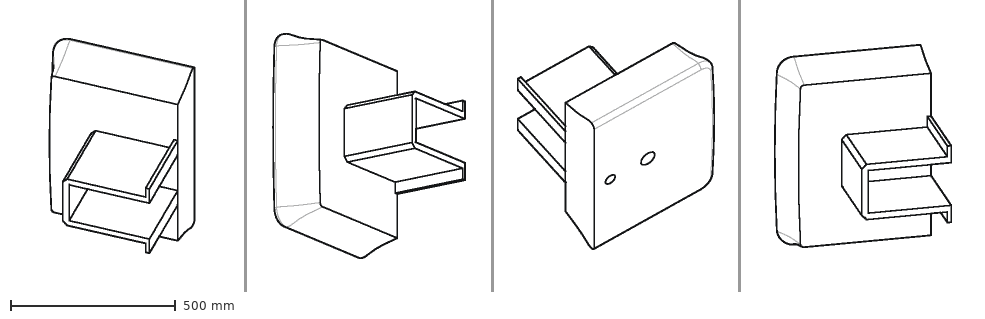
import cadquery as cq
import math


cushion_length = 455.5
cushion_height = 610.5
cushion_depth = 149.5
corner_radius = 52.0
end_bulge_radius = 5251.0
rim_inset = 40.0
rim_waist = (22.0, 74.0)
rim_shoulder = (9.0, 104.0)
back_edge_radius = 15.0
rim_strip_width = 46.0

bracket_length = 280.0
bracket_depth = 250.5
channel_height = 181.0
wall = 21.0
lip_height = 250.5
lip_thickness = 12.0
bracket_chamfer = 14.5

holes = [(200.0, 50.5), (60.5, 36.0)]

half_height = cushion_height / 2
corner_z = half_height - corner_radius
bulge_x = end_bulge_radius - cushion_length
corner_x = bulge_x - math.sqrt((end_bulge_radius - corner_radius) ** 2 - corner_z ** 2)
tangent_angle = math.asin(corner_z / (end_bulge_radius - corner_radius))


def rim_outline(inset):
    """Open outline of the three rimmed sides on plane Y = 0, moved inwards by inset."""
    radius = corner_radius - inset
    middle_angle = (math.pi / 2 + tangent_angle) / 2
    top_z = half_height - inset

    def corner_point(angle, side):
        return (corner_x - radius * math.cos(angle), side * (corner_z + radius * math.sin(angle)))

    return (
        cq.Workplane("XZ")
        .moveTo(0, top_z)
        .lineTo(corner_x, top_z)
        .threePointArc(corner_point(middle_angle, 1), corner_point(tangent_angle, 1))
        .threePointArc((-cushion_length + inset, 0), corner_point(tangent_angle, -1))
        .threePointArc(corner_point(middle_angle, -1), (corner_x, -top_z))
        .lineTo(0, -top_z)
    )


def rim_section():
    """Closed rim cross-section on the flat end, ready to sweep round the outline."""
    shoulder_y = cushion_depth - back_edge_radius
    arc_offset = back_edge_radius * (1 - math.sqrt(0.5))

    def section_point(inset, y):
        return (y, half_height - inset)

    return (
        cq.Workplane("YZ")
        .moveTo(*section_point(rim_strip_width, 0))
        .lineTo(*section_point(rim_inset, 0))
        .spline(
            [section_point(*rim_waist), section_point(*rim_shoulder), section_point(0, shoulder_y)],
            tangents=[(4, 1), (1, 0)],
            includeCurrent=True,
        )
        .threePointArc(
            section_point(arc_offset, cushion_depth - arc_offset),
            section_point(back_edge_radius, cushion_depth),
        )
        .lineTo(*section_point(rim_strip_width, cushion_depth))
        .close()
    )


def make_cushion():
    core = rim_outline(rim_strip_width).close().extrude(-cushion_depth)
    rim = rim_section().sweep(rim_outline(0))
    cushion = core.union(rim)
    for distance, diameter in holes:
        bore = cq.Workplane("XZ").center(-distance, 0).circle(diameter / 2).extrude(-cushion_depth)
        cushion = cushion.cut(bore)
    return cushion


def make_bracket():
    channel = (
        cq.Workplane("XY")
        .box(bracket_length, bracket_depth, channel_height)
        .edges("|Y and <X")
        .chamfer(bracket_chamfer)
        .translate((-bracket_length / 2, -bracket_depth / 2, 0))
    )
    lips = cq.Workplane("XY").box(lip_thickness, bracket_depth, lip_height)
    lips = lips.translate((-lip_thickness / 2, -bracket_depth / 2, 0))
    opening_length = bracket_length - wall
    opening = cq.Workplane("XY").box(opening_length, bracket_depth, channel_height - 2 * wall)
    opening = opening.translate((-opening_length / 2, -bracket_depth / 2, 0))
    return channel.union(lips).cut(opening)


cushion = make_cushion()
bracket = make_bracket()
result = cq.Compound.makeCompound([cushion.val(), bracket.val()])